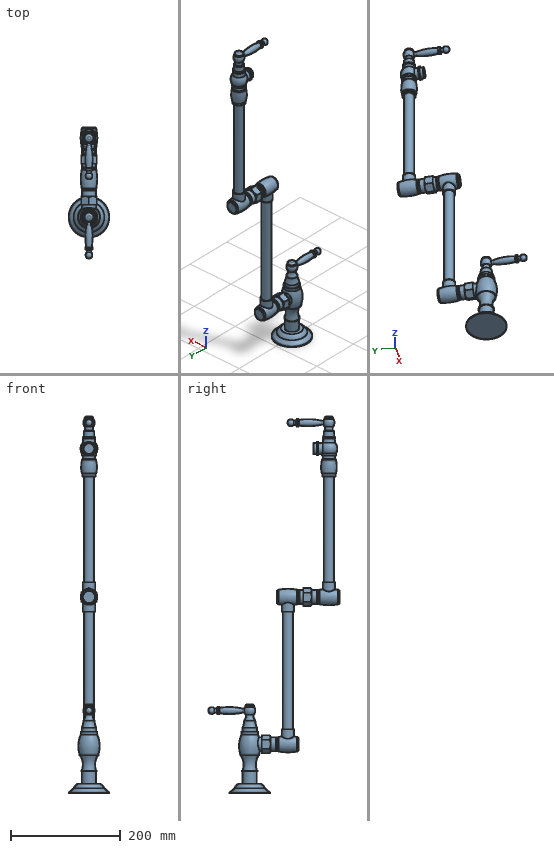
import cadquery as cq
import math

FLANGE_RADIUS = 37.085
FLANGE_HEIGHT = 17.8
TOTAL_HEIGHT = 686.82
LEVER_REACH = 75.6

LOWER_TUBE_Y = 69.4
UPPER_TUBE_Y = 144.2
LOWER_ARM_Z = 89.6
MIDDLE_ARM_Z = 357.7
TUBE_RADIUS = 9.5
UPPER_TUBE_TOP = 577.0

HANDLE_TOP_OFFSET = 11.8
LOWER_HANDLE_Z = 150.9
HUB_DEPTH = 7.5
STEM_EMBED = 2.5
UPPER_HANDLE_Z = TOTAL_HEIGHT - HANDLE_TOP_OFFSET

ELBOW_RADIUS = 15.2
ELBOW_END_RADIUS = 13.6
ELBOW_HALF_LENGTH = 16.5
ELBOW_CAP_LENGTH = 3.29
COLLAR_RADIUS = 11.5
COLLAR_REACH = 27.0
PIPE_RADIUS = 13.0
GROOVE_RADIUS = 12.0
GROOVE_COUNT = 2
GROOVE_WIDTH = 1.5
GROOVE_SPACING = 3.0
NUT_CORNER_RADIUS = 16.4
NUT_LENGTH = 16.0
NUT_START = 31.2
NUT_CHAMFER_RISE = 2.4

OUTLET_Z = 627.8
OUTLET_REACH = 28.6
BALL_RADIUS = 15.6


def revolve_z(outline, y=0.0):
    """Revolve a closed (radius, height) outline about a vertical axis at the given Y."""
    return outline.close().revolve(360, (0, 0, 0), (0, 1, 0)).translate((0, y, 0))


def along_y(solid, y, z, direction):
    """Lay a vertical solid down so that its +Z runs along +Y or -Y, starting at (y, z)."""
    return solid.rotate((0, 0, 0), (1, 0, 0), -90 * direction).translate((0, y, z))


def cylinder(radius, start, end):
    """Vertical cylinder on the Z axis between two heights."""
    return cq.Workplane("XY").workplane(offset=start).circle(radius).extrude(end - start)


def flange():
    """Base flange: thin rim, sloped skirt and rounded shoulder."""
    rim_height = 1.6
    rim_inner_radius = 35.0
    rim_inner_height = 3.2
    skirt_radius = 28.0
    skirt_top = 9.4
    shoulder_point = (24.9, 14.3)
    top_radius = 20.4
    outline = (
        cq.Workplane("XZ")
        .lineTo(FLANGE_RADIUS, 0)
        .lineTo(FLANGE_RADIUS, rim_height)
        .lineTo(rim_inner_radius, rim_inner_height)
        .lineTo(skirt_radius, skirt_top)
        .threePointArc(shoulder_point, (top_radius, FLANGE_HEIGHT))
        .lineTo(0, FLANGE_HEIGHT)
    )
    return revolve_z(outline)


def column():
    """Turned base column: shank, waist, bulb, collar ring and tapered bonnet."""
    shank_radius = 13.2
    shank_top = 40.4
    bead_radius = 14.4
    bead_top = 41.0
    waist_point = (11.9, 58.0)
    flare_radius = 16.6
    bulb_bottom = 70.0
    bulb_lip_radius = 17.6
    bulb_lip_top = 72.0
    bulb_point = (19.6, 90.0)
    bulb_top_radius = 15.2
    bulb_top = 107.0
    ring_radius = 15.4
    ring_bottom = 108.4
    ring_top = 112.6
    bonnet_radius = 13.4
    bonnet_step = 119.2
    taper_point = (11.4, 125.0)
    taper_top_radius = 10.4
    taper_top = 132.0
    stem_base_radius = 9.4
    stem_base = 134.0
    stem_point = (7.6, 137.5)
    stem_radius = 7.3
    stem_top = LOWER_HANDLE_Z - HUB_DEPTH + STEM_EMBED
    outline = (
        cq.Workplane("XZ")
        .lineTo(shank_radius, 0)
        .lineTo(shank_radius, shank_top)
        .lineTo(bead_radius, shank_top)
        .lineTo(bead_radius, bead_top)
        .lineTo(shank_radius, bead_top)
        .spline([waist_point, (flare_radius, bulb_bottom)], includeCurrent=True)
        .lineTo(bulb_lip_radius, bulb_bottom)
        .lineTo(bulb_lip_radius, bulb_lip_top)
        .threePointArc(bulb_point, (bulb_top_radius, bulb_top))
        .lineTo(ring_radius, ring_bottom)
        .lineTo(ring_radius, ring_top)
        .lineTo(bonnet_radius, ring_top)
        .lineTo(bonnet_radius, bonnet_step)
        .threePointArc(taper_point, (taper_top_radius, taper_top))
        .lineTo(stem_base_radius, stem_base)
        .threePointArc(stem_point, (stem_radius, stem_top))
        .lineTo(0, stem_top)
    )
    return revolve_z(outline)


def handle_hub():
    """Barrel shaped hub and domed cap, centred on the lever axis."""
    hub_bottom_radius = 7.6
    hub_radius = 10.4
    hub_top_radius = 8.8
    hub_top = 6.0
    cap_radius = 8.2
    cap_bottom = 6.6
    cap_side_top = 8.6
    dome_point = (6.2, 10.8)
    dome_flat_radius = 3.0
    outline = (
        cq.Workplane("XZ")
        .moveTo(0, -HUB_DEPTH)
        .lineTo(hub_bottom_radius, -HUB_DEPTH)
        .threePointArc((hub_radius, 0), (hub_top_radius, hub_top))
        .lineTo(cap_radius, cap_bottom)
        .lineTo(cap_radius, cap_side_top)
        .threePointArc(dome_point, (dome_flat_radius, HANDLE_TOP_OFFSET))
        .lineTo(0, HANDLE_TOP_OFFSET)
    )
    return revolve_z(outline)


def lever():
    """Turned lever with a swelling grip, a ring and a ball tip."""
    ball_radius = 6.4
    ball_centre = LEVER_REACH - ball_radius
    root_radius = 4.0
    grip_start = 13.5
    grip_point = (6.6, 32.0)
    grip_end_radius = 5.4
    grip_end = 54.4
    ring_radius = 7.0
    ring_end = 58.5
    ring_bevel = 1.0
    neck_radius = 4.2
    neck_start = 60.0
    outline = (
        cq.Workplane("XZ")
        .lineTo(root_radius, 0)
        .lineTo(root_radius, grip_start)
        .threePointArc(grip_point, (grip_end_radius, grip_end))
        .lineTo(ring_radius, grip_end + ring_bevel)
        .lineTo(ring_radius, ring_end)
        .lineTo(neck_radius, neck_start)
        .lineTo(neck_radius, ball_centre)
        .lineTo(0, ball_centre)
    )
    ball = cq.Workplane("XY").sphere(ball_radius).translate((0, 0, ball_centre))
    return revolve_z(outline).union(ball)


def handle(y, z):
    """Hub and lever, the lever pointing toward -Y from (y, z)."""
    return handle_hub().translate((0, y, z)).union(along_y(lever(), y, z, -1))


def elbow():
    """Elbow barrel along Z with a chamfered cap on its closed (-Z) end."""
    cap_end = -ELBOW_HALF_LENGTH - ELBOW_CAP_LENGTH
    cap_radius = 13.4
    cap_chamfer = 2.4
    outline = (
        cq.Workplane("XZ")
        .moveTo(0, cap_end)
        .lineTo(cap_radius - cap_chamfer, cap_end)
        .lineTo(cap_radius, cap_end + cap_chamfer)
        .lineTo(cap_radius, -ELBOW_HALF_LENGTH)
        .lineTo(ELBOW_END_RADIUS, -ELBOW_HALF_LENGTH)
        .threePointArc((ELBOW_RADIUS, 0), (ELBOW_END_RADIUS, ELBOW_HALF_LENGTH))
        .lineTo(0, ELBOW_HALF_LENGTH)
    )
    return revolve_z(outline)


def grooved_pipe(length):
    """Pipe leaving an elbow, with grooves right after the elbow barrel."""
    pipe = cylinder(PIPE_RADIUS, 0, length)
    for index in range(GROOVE_COUNT):
        start = ELBOW_HALF_LENGTH + GROOVE_SPACING * index + GROOVE_WIDTH / 2
        cutter = cylinder(ELBOW_RADIUS, start, start + GROOVE_WIDTH)
        cutter = cutter.cut(cylinder(GROOVE_RADIUS, start, start + GROOVE_WIDTH))
        pipe = pipe.cut(cutter)
    return pipe


def hex_nut():
    """Hex nut along Z with corners on the Y axis and the corners of its near end turned off."""
    nut = (
        cq.Workplane("XY")
        .polygon(6, 2 * NUT_CORNER_RADIUS)
        .extrude(NUT_LENGTH)
        .rotate((0, 0, 0), (0, 0, 1), 90)
    )
    face_radius = NUT_CORNER_RADIUS - NUT_CHAMFER_RISE
    envelope_outline = (
        cq.Workplane("XZ")
        .lineTo(face_radius, 0)
        .lineTo(NUT_CORNER_RADIUS, NUT_CHAMFER_RISE)
        .lineTo(NUT_CORNER_RADIUS, NUT_LENGTH)
        .lineTo(0, NUT_LENGTH)
    )
    return nut.intersect(revolve_z(envelope_outline)).translate((0, 0, NUT_START))


def collar(y, arm_z, direction):
    """Socket joining an elbow to a vertical tube, above (+1) or below (-1) the arm."""
    end_z = arm_z + direction * COLLAR_REACH
    return cylinder(COLLAR_RADIUS, min(arm_z, end_z), max(arm_z, end_z)).translate((0, y, 0))


def lower_arm():
    """Elbow, grooved pipe and nut reaching from the lower tube into the base bulb."""
    arm = elbow().union(grooved_pipe(LOWER_TUBE_Y)).union(hex_nut())
    arm = along_y(arm, LOWER_TUBE_Y, LOWER_ARM_Z, -1)
    return arm.union(collar(LOWER_TUBE_Y, LOWER_ARM_Z, 1))


def middle_arm():
    """Two facing elbows joined by a nut; tubes leave upward and downward."""
    span = UPPER_TUBE_Y - LOWER_TUBE_Y
    upper = elbow().union(grooved_pipe(span / 2)).union(hex_nut())
    lower = elbow().union(grooved_pipe(span / 2))
    return (
        along_y(upper, UPPER_TUBE_Y, MIDDLE_ARM_Z, -1)
        .union(along_y(lower, LOWER_TUBE_Y, MIDDLE_ARM_Z, 1))
        .union(collar(UPPER_TUBE_Y, MIDDLE_ARM_Z, 1))
        .union(collar(LOWER_TUBE_Y, MIDDLE_ARM_Z, -1))
    )


def tubes():
    """Lower and upper vertical tubes, solid."""
    lower = cylinder(TUBE_RADIUS, LOWER_ARM_Z, MIDDLE_ARM_Z).translate((0, LOWER_TUBE_Y, 0))
    upper = cylinder(TUBE_RADIUS, MIDDLE_ARM_Z, UPPER_TUBE_TOP).translate((0, UPPER_TUBE_Y, 0))
    return lower.union(upper)


def ball_height(radius):
    """Distance from the centre of the valve ball to its section of the given radius."""
    return math.sqrt(BALL_RADIUS**2 - radius**2)


def valve_body():
    """Turned upper valve: coupling, barrel, neck, ball and stepped bonnet."""
    coupling_radius = 12.6
    coupling_chamfer = 1.0
    coupling_top = 582.0
    barrel_end_radius = 13.2
    barrel_bottom = 582.6
    barrel_point = (14.8, 595.0)
    barrel_top = 606.0
    barrel_lip_top = 608.0
    neck_radius = 11.4
    neck_bottom = 609.0
    neck_top = 615.0
    ball_foot_radius = 13.4
    ball_foot = 616.0
    ball_top_radius = 11.6
    bonnet_radius = 10.8
    bonnet_top = 645.5
    ring_radius = 11.6
    ring_bottom = 646.4
    ring_top = 648.6
    sleeve_bottom_radius = 10.0
    sleeve_bottom = 649.6
    sleeve_radius = 9.6
    sleeve_top = 659.4
    stem_radius = 7.4
    stem_bottom = 661.0
    stem_top = UPPER_HANDLE_Z - HUB_DEPTH + STEM_EMBED
    ball_top = (ball_top_radius, OUTLET_Z + ball_height(ball_top_radius))
    outline = (
        cq.Workplane("XZ")
        .moveTo(0, UPPER_TUBE_TOP)
        .lineTo(coupling_radius - coupling_chamfer, UPPER_TUBE_TOP)
        .lineTo(coupling_radius, UPPER_TUBE_TOP + coupling_chamfer)
        .lineTo(coupling_radius, coupling_top)
        .lineTo(barrel_end_radius, barrel_bottom)
        .threePointArc(barrel_point, (barrel_end_radius, barrel_top))
        .lineTo(barrel_end_radius, barrel_lip_top)
        .lineTo(neck_radius, neck_bottom)
        .lineTo(neck_radius, neck_top)
        .lineTo(ball_foot_radius, ball_foot)
        .lineTo(ball_foot_radius, OUTLET_Z - ball_height(ball_foot_radius))
        .threePointArc((BALL_RADIUS, OUTLET_Z), ball_top)
        .lineTo(bonnet_radius, bonnet_top)
        .lineTo(ring_radius, ring_bottom)
        .lineTo(ring_radius, ring_top)
        .lineTo(sleeve_bottom_radius, sleeve_bottom)
        .lineTo(sleeve_radius, sleeve_top)
        .lineTo(stem_radius, stem_bottom)
        .lineTo(stem_radius, stem_top)
        .lineTo(0, stem_top)
    )
    return revolve_z(outline, UPPER_TUBE_Y)


def outlet():
    """Blind outlet stub with a ring, pointing toward -Y."""
    stub_radius = 10.4
    ring_radius = 12.4
    ring_start = 19.3
    ring_end = 22.0
    rim_chamfer = 0.8
    stub = cylinder(stub_radius, 0, OUTLET_REACH).faces(">Z").chamfer(rim_chamfer)
    stub = stub.union(cylinder(ring_radius, ring_start, ring_end))
    return along_y(stub, UPPER_TUBE_Y, OUTLET_Z, -1)


result = (
    flange()
    .union(column())
    .union(handle(0, LOWER_HANDLE_Z))
    .union(lower_arm())
    .union(middle_arm())
    .union(tubes())
    .union(valve_body())
    .union(outlet())
    .union(handle(UPPER_TUBE_Y, UPPER_HANDLE_Z))
)